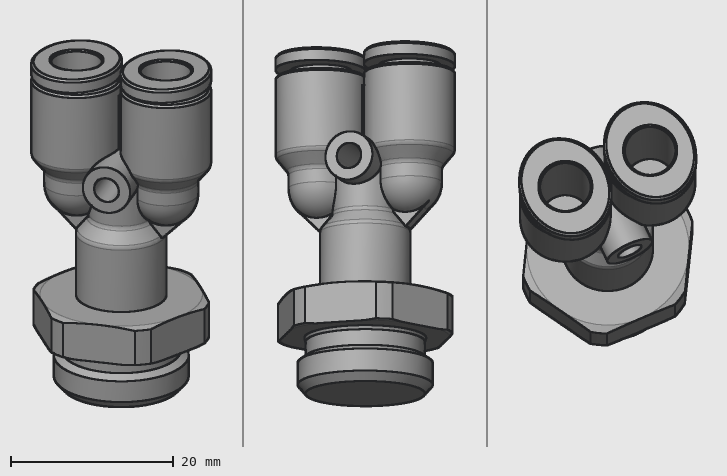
import cadquery as cq
import math

base_radius = 8.3
groove_radius = 7.35
base_chamfer_height = 1.1
base_rim_top = 3.9
groove_bottom = 4.55
flare_bottom = 6.53
flare_radius = 7.5
hex_bottom = 7.0

hex_height = 5.0
across_flats = 20.0
hex_corner_radius = 11.0
hex_bottom_face_radius = 10.5
hex_chamfer_angle = math.radians(15)
hex_top = hex_bottom + hex_height

cone_height = 1.9
cone_round = 0.85

stem_radius = 5.6
neck_radius = 4.0
stem_shoulder = 20.55

branch_spacing = 11.45
branch_radius = 5.6
branch_center = branch_spacing / 2
elbow_center_height = 26.2
branch_cone_top = 30.05
branch_cone_bottom = branch_cone_top - cone_height
branch_top = 40.2
branch_chamfer = 0.3

collar_neck_radius = 3.75
collar_bottom = 41.0
part_top = 42.65
collar_half_x = 5.5
collar_half_y = 6.53
collar_chamfer = 0.3
bore_radius = 3.1
bore_bottom = branch_cone_top
bore_chamfer = 0.2

tube_height = 28.6
tube_radius = 3.03
tube_hole_radius = 1.58
tube_length = 13.22

gusset_thickness = 2.0
web_thickness = 1.4
web_top = 38.7


def cylinder(radius, bottom, top, x=0):
    return cq.Workplane("XY", origin=(x, 0, bottom)).circle(radius).extrude(top - bottom)


def revolve_z(outline):
    """Turn a polygon of (radius, height) points about Z."""
    return cq.Workplane("XZ").polyline(outline).close().revolve(360, (0, 0), (0, 1))


def round_cone_ends(solid, cone_bottom):
    """Round the circular edges at both ends of a cone."""
    reach = branch_radius + cone_round
    margin = cone_height / 4
    lower_corner = (-reach, -reach, cone_bottom - margin)
    upper_corner = (reach, reach, cone_bottom + cone_height + margin)
    around_cone = cq.selectors.BoxSelector(lower_corner, upper_corner)
    return solid.edges(around_cone).edges("%CIRCLE").fillet(cone_round)


def threaded_base():
    outline = [
        (0, 0),
        (groove_radius, 0),
        (base_radius, base_chamfer_height),
        (base_radius, base_rim_top),
        (groove_radius, groove_bottom),
        (groove_radius, flare_bottom),
        (flare_radius, hex_bottom),
        (0, hex_bottom),
    ]
    return revolve_z(outline)


def hexagon():
    """Hexagon with flats facing +-Y, turned corners and conical chamfers at both ends."""
    across_corners = across_flats / math.cos(math.radians(30))
    prism = cq.Workplane("XY", origin=(0, 0, hex_bottom)).polygon(6, across_corners).extrude(hex_height)
    top_face_radius = across_flats / 2
    top_drop = (hex_corner_radius - top_face_radius) * math.tan(hex_chamfer_angle)
    bottom_rise = (hex_corner_radius - hex_bottom_face_radius) * math.tan(hex_chamfer_angle)
    outline = [
        (0, hex_bottom),
        (hex_bottom_face_radius, hex_bottom),
        (hex_corner_radius, hex_bottom + bottom_rise),
        (hex_corner_radius, hex_top - top_drop),
        (top_face_radius, hex_top),
        (0, hex_top),
    ]
    return prism.intersect(revolve_z(outline))


def stem():
    cone_top = stem_shoulder + cone_height
    outline = [
        (0, hex_top),
        (stem_radius, hex_top),
        (stem_radius, stem_shoulder),
        (neck_radius, cone_top),
        (neck_radius, tube_height),
        (0, tube_height),
    ]
    return round_cone_ends(revolve_z(outline), stem_shoulder)


def branch(x):
    """Round-ended elbow that widens into the branch body."""
    outline = (
        cq.Workplane("XZ")
        .moveTo(0, elbow_center_height - neck_radius)
        .radiusArc((neck_radius, elbow_center_height), -neck_radius)
        .lineTo(neck_radius, branch_cone_bottom)
        .lineTo(branch_radius, branch_cone_top)
        .lineTo(branch_radius, branch_top)
        .lineTo(0, branch_top)
        .close()
    )
    solid = outline.revolve(360, (0, 0), (0, 1))
    solid = round_cone_ends(solid, branch_cone_bottom)
    return solid.faces(">Z").edges().chamfer(branch_chamfer).translate((x, 0, 0))


def collar(x):
    plate = (
        cq.Workplane("XY", origin=(x, 0, collar_bottom))
        .ellipse(collar_half_x, collar_half_y)
        .extrude(part_top - collar_bottom)
        .faces(">Z").edges().chamfer(collar_chamfer)
    )
    return plate.union(cylinder(collar_neck_radius, branch_top, collar_bottom, x))


def bore(x):
    hole = cylinder(bore_radius, bore_bottom, part_top, x)
    mouth = (
        cq.Workplane("XY", origin=(x, 0, part_top))
        .circle(bore_radius + bore_chamfer)
        .workplane(offset=-bore_chamfer)
        .circle(bore_radius)
        .loft()
    )
    return hole.union(mouth)


def web():
    """Thin plate that fills the gap between the branches."""
    height = web_top - elbow_center_height
    plate = cq.Workplane("XY", origin=(0, 0, elbow_center_height)).rect(branch_spacing, web_thickness)
    return plate.extrude(height)


def gussets():
    """Plate whose 45 degree sides run from the stem to the undersides of the elbows."""
    tangent_x = branch_center + neck_radius * math.sin(math.radians(45))
    tangent_height = stem_shoulder + tangent_x - stem_radius
    outline = [
        (-stem_radius, stem_shoulder),
        (stem_radius, stem_shoulder),
        (tangent_x, tangent_height),
        (branch_center, elbow_center_height),
        (-branch_center, elbow_center_height),
        (-tangent_x, tangent_height),
    ]
    return cq.Workplane("XZ").polyline(outline).close().extrude(gusset_thickness / 2, both=True)


def cross_cylinder(radius):
    return cq.Workplane("XZ").center(0, tube_height).circle(radius).extrude(tube_length / 2, both=True)


body = threaded_base().union(hexagon()).union(stem())
body = body.union(web()).union(gussets()).union(cross_cylinder(tube_radius))
for center in (-branch_center, branch_center):
    body = body.union(branch(center)).union(collar(center)).cut(bore(center))
result = body.cut(cross_cylinder(tube_hole_radius)).solids()